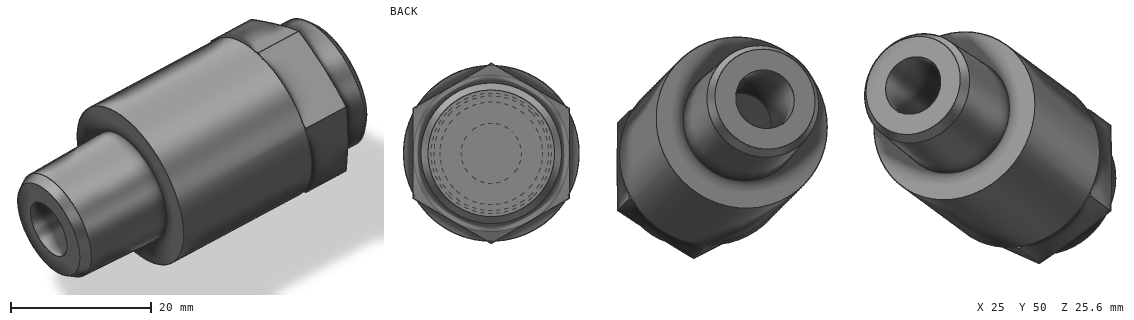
import cadquery as cq
import math

LENGTH = 50.0

BODY_DIAMETER = 25.0
BODY_START = 14.6
BODY_END = 37.5

SPIGOT_TIP_DIAMETER = 14.6
SPIGOT_CHAMFER_DIAMETER = 16.3
SPIGOT_ROOT_DIAMETER = 17.1
SPIGOT_CHAMFER_LENGTH = 1.4

HEX_ACROSS_FLATS = 22.2
HEX_ACROSS_CORNERS = HEX_ACROSS_FLATS / math.cos(math.pi / 6)
HEX_END = 45.0
HEX_CHAMFER_ANGLE = 10.0

COLLAR_DIAMETER = 20.0
COLLAR_CHAMFER = 1.0

BORE_DIAMETER = 8.55
BORE_DEPTH = BODY_START


def revolve_about_y(points):
    """Revolve a closed (radius, y) outline about the Y axis."""
    return cq.Workplane("XY").polyline(points).close().revolve(360, (0, 0), (0, 1))


def cylinder(diameter, start, end):
    """Cylinder on the Y axis between two stations."""
    return cq.Workplane("XZ", origin=(0, start, 0)).circle(diameter / 2).extrude(start - end)


def spigot():
    """Tapered spigot with a chamfered tip."""
    return revolve_about_y([
        (0, 0),
        (SPIGOT_TIP_DIAMETER / 2, 0),
        (SPIGOT_CHAMFER_DIAMETER / 2, SPIGOT_CHAMFER_LENGTH),
        (SPIGOT_ROOT_DIAMETER / 2, BODY_START),
        (0, BODY_START),
    ])


def hexagon():
    """Hexagon with corners on +Z and -Z, its corners turned down at the collar end."""
    prism = (
        cq.Workplane("XZ", origin=(0, BODY_END, 0))
        .transformed(rotate=(0, 0, 90))
        .polygon(6, HEX_ACROSS_CORNERS)
        .extrude(BODY_END - HEX_END)
    )
    flat_radius = HEX_ACROSS_FLATS / 2
    outer_radius = HEX_ACROSS_CORNERS / 2
    chamfer_drop = (outer_radius - flat_radius) * math.tan(math.radians(HEX_CHAMFER_ANGLE))
    envelope = revolve_about_y([
        (0, BODY_END),
        (outer_radius, BODY_END),
        (outer_radius, HEX_END - chamfer_drop),
        (flat_radius, HEX_END),
        (0, HEX_END),
    ])
    return prism.intersect(envelope)


def collar():
    """Round collar with a chamfered outer end."""
    return cylinder(COLLAR_DIAMETER, HEX_END, LENGTH).faces(">Y").chamfer(COLLAR_CHAMFER)


body = cylinder(BODY_DIAMETER, BODY_START, BODY_END)
bore = cylinder(BORE_DIAMETER, 0, BORE_DEPTH)
result = spigot().union(body).union(hexagon()).union(collar()).cut(bore)